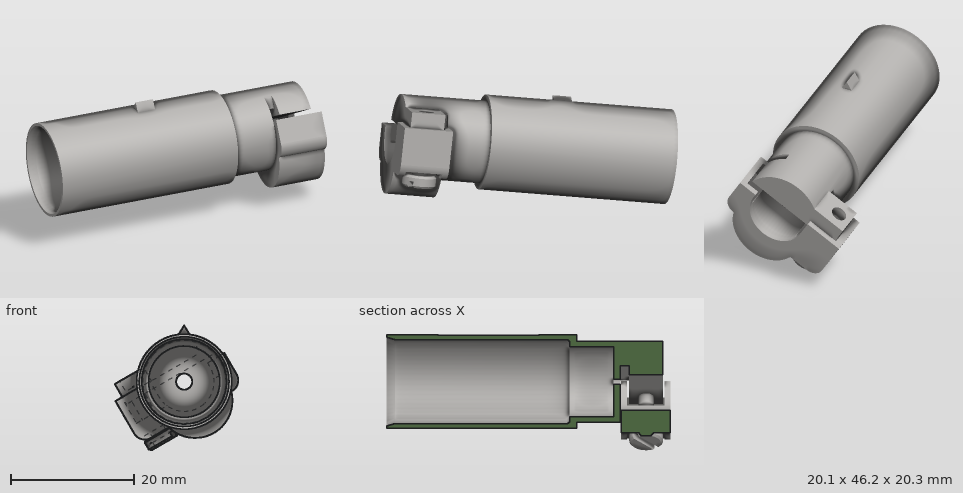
import cadquery as cq
import math

TOTAL_LENGTH = 46.2
CLAMP_TILT = -30.0

BODY_DIAMETER = 15.5
BODY_LENGTH = 30.95
NECK_DIAMETER = 13.5
NECK_END = 45.0
BORE_DIAMETER = 13.8
BORE_DEPTH = 29.8
BORE_FLOOR_FILLET = 0.5
MOUTH_DIAMETER = 14.6
MOUTH_DEPTH = 1.4
INNER_BORE_DIAMETER = 11.6
INNER_BORE_DEPTH = 36.95
APERTURE_DIAMETER = 2.6

KEY_APEX_HEIGHT = 9.15
KEY_FLANK_ANGLE = 31.5
KEY_START = 16.12
KEY_LENGTH = 3.05

GROOVE_START = 38.05
GROOVE_END = 39.45
GROOVE_CORE_WIDTH = 9.15
GROOVE_CORE_BOTTOM = 2.8
CAP_BOTTOM = 1.55

LUG_OUTER = -10.0
LUG_TOP = 5.3
LUG_HOLE_DIAMETER = 2.6
LUG_HOLE_DEPTH = 1.9

BRACKET_WIDTH = 8.05
BRACKET_LEFT = -11.25
BRACKET_RIGHT = 8.0
LEFT_TOP = 2.85
RIGHT_TOP = 0.8
BRACKET_BOTTOM = -5.2
BRACKET_FILLET = 2.0
BELLY_DIAMETER = 12.2
BELLY_CENTRE = -3.55
SADDLE_DIAMETER = 9.6
CHANNEL_WIDTH = 6.05
CHANNEL_BACK_WALL = 1.0
CHANNEL_LEFT = -10.1
CHANNEL_RIGHT = 7.0
CHANNEL_FLOOR = -1.95
HEAD_RECESS_CEILING = -4.35
HEAD_RECESS_RIGHT = -4.8

SCREW_X = -7.75
SCREW_DIAMETER = 2.5
HEAD_DIAMETER = 5.5
HEAD_EDGE_DIAMETER = 4.8
HEAD_TOP = -5.05
HEAD_HEIGHT = 2.0
SLOT_WIDTH = 1.1
SLOT_DEPTH = 1.05
SLOT_ANGLE = -42.0

BRACKET_START = TOTAL_LENGTH - BRACKET_WIDTH
CHANNEL_END = TOTAL_LENGTH - CHANNEL_BACK_WALL
CHANNEL_START = CHANNEL_END - CHANNEL_WIDTH
SCREW_Y = (GROOVE_END + NECK_END) / 2
CUT_SIZE = 2 * BODY_DIAMETER


def block(x_range, y_range, z_range):
    """Box given by its limits along each axis."""
    limits = (x_range, y_range, z_range)
    sizes = [high - low for low, high in limits]
    corner = tuple(low for low, high in limits)
    return cq.Workplane("XY").box(*sizes, centered=False).translate(corner)


def rod(diameter, start, end, height=0):
    """Cylinder along Y, with its axis at the given height."""
    return (
        cq.Workplane("XZ", origin=(0, start, height))
        .circle(diameter / 2)
        .extrude(start - end)
    )


def upright_rod(diameter, bottom, top):
    """Cylinder along Z on the screw axis."""
    return (
        cq.Workplane("XY", origin=(SCREW_X, SCREW_Y, bottom))
        .circle(diameter / 2)
        .extrude(top - bottom)
    )


def make_tube():
    """Stepped tube with a flared mouth, a stepped bore and a small aperture."""
    tube = rod(BODY_DIAMETER, 0, BODY_LENGTH)
    tube = tube.union(rod(NECK_DIAMETER, BODY_LENGTH, NECK_END))
    main_bore = rod(BORE_DIAMETER, 0, BORE_DEPTH).faces(">Y").edges().fillet(BORE_FLOOR_FILLET)
    mouth_flare = (
        cq.Workplane("XY")
        .polyline([
            (0, 0),
            (MOUTH_DIAMETER / 2, 0),
            (BORE_DIAMETER / 2, MOUTH_DEPTH),
            (0, MOUTH_DEPTH),
        ])
        .close()
        .revolve(360, (0, 0, 0), (0, 1, 0))
    )
    inner_bore = rod(INNER_BORE_DIAMETER, 0, INNER_BORE_DEPTH)
    aperture = rod(APERTURE_DIAMETER, 0, TOTAL_LENGTH)
    return tube.cut(main_bore).cut(mouth_flare).cut(inner_bore).cut(aperture)


def make_key():
    """Triangular ridge, rooted just inside the outer surface of the tube."""
    root_height = (BODY_DIAMETER + BORE_DIAMETER) / 4
    half_width = (KEY_APEX_HEIGHT - root_height) * math.tan(math.radians(KEY_FLANK_ANGLE))
    return (
        cq.Workplane("XZ", origin=(0, KEY_START, 0))
        .polyline([(-half_width, root_height), (half_width, root_height), (0, KEY_APEX_HEIGHT)])
        .close()
        .extrude(-KEY_LENGTH)
    )


def make_neck_cuts():
    """Material removed from the back of the tube to leave a grooved upper cap."""
    groove = block((-CUT_SIZE, CUT_SIZE), (GROOVE_START, GROOVE_END), (-CUT_SIZE, CUT_SIZE))
    half_core = GROOVE_CORE_WIDTH / 2
    core = block((-half_core, half_core), (GROOVE_START, GROOVE_END), (GROOVE_CORE_BOTTOM, CUT_SIZE))
    below_cap = block((-CUT_SIZE, CUT_SIZE), (GROOVE_END, TOTAL_LENGTH), (-CUT_SIZE, CAP_BOTTOM))
    return groove.cut(core).union(below_cap)


def make_lug():
    """Side lug of the cap with a blind hole above the screw tip."""
    lug = block((LUG_OUTER, 0), (GROOVE_END, NECK_END), (CAP_BOTTOM, LUG_TOP))
    return lug.cut(upright_rod(LUG_HOLE_DIAMETER, LUG_TOP - LUG_HOLE_DEPTH, LUG_TOP))


def make_bracket():
    """Clamp bracket with a round belly, a saddle bore, an inner channel and a head recess."""
    bracket = (
        cq.Workplane("XZ", origin=(0, BRACKET_START, 0))
        .moveTo(BRACKET_LEFT, BRACKET_BOTTOM)
        .lineTo(BRACKET_RIGHT, BRACKET_BOTTOM)
        .lineTo(BRACKET_RIGHT, RIGHT_TOP)
        .lineTo(0, RIGHT_TOP)
        .lineTo(0, LEFT_TOP)
        .lineTo(BRACKET_LEFT, LEFT_TOP)
        .close()
        .extrude(-BRACKET_WIDTH)
    )
    bracket = bracket.faces("<Z").edges("|Y").fillet(BRACKET_FILLET)
    belly = rod(BELLY_DIAMETER, BRACKET_START, TOTAL_LENGTH, BELLY_CENTRE)
    bracket = bracket.union(belly)

    saddle_radius = SADDLE_DIAMETER / 2
    saddle = rod(SADDLE_DIAMETER, BRACKET_START, TOTAL_LENGTH).union(
        block((-saddle_radius, saddle_radius), (BRACKET_START, TOTAL_LENGTH), (0, CUT_SIZE))
    )
    channel_span = (CHANNEL_START, CHANNEL_END)
    channel = block((CHANNEL_LEFT, CHANNEL_RIGHT), channel_span, (CHANNEL_FLOOR, CUT_SIZE))
    head_recess = block((-CUT_SIZE, HEAD_RECESS_RIGHT), channel_span, (-CUT_SIZE, HEAD_RECESS_CEILING))
    return bracket.cut(saddle).cut(channel).cut(head_recess.cut(belly))


def make_screw():
    """Clamp screw reaching from its slotted head up to the floor of the lug hole."""
    head_bottom = HEAD_TOP - HEAD_HEIGHT
    edge_chamfer = (HEAD_DIAMETER - HEAD_EDGE_DIAMETER) / 2
    head = upright_rod(HEAD_DIAMETER, head_bottom, HEAD_TOP).edges().chamfer(edge_chamfer)
    slot = (
        cq.Workplane("XY")
        .box(2 * HEAD_DIAMETER, SLOT_WIDTH, SLOT_DEPTH, centered=(True, True, False))
        .rotate((0, 0, 0), (0, 0, 1), SLOT_ANGLE)
        .translate((SCREW_X, SCREW_Y, head_bottom))
    )
    shank = upright_rod(SCREW_DIAMETER, HEAD_TOP, LUG_TOP - LUG_HOLE_DEPTH)
    return head.cut(slot).union(shank)


def tilt(shape):
    """Turn a shape from the upright clamp position to its final one."""
    return shape.rotate((0, 0, 0), (0, 1, 0), CLAMP_TILT)


tube = make_tube().union(make_key()).cut(tilt(make_neck_cuts()))
clamp = make_lug().union(make_bracket()).union(make_screw())
result = tube.union(tilt(clamp))